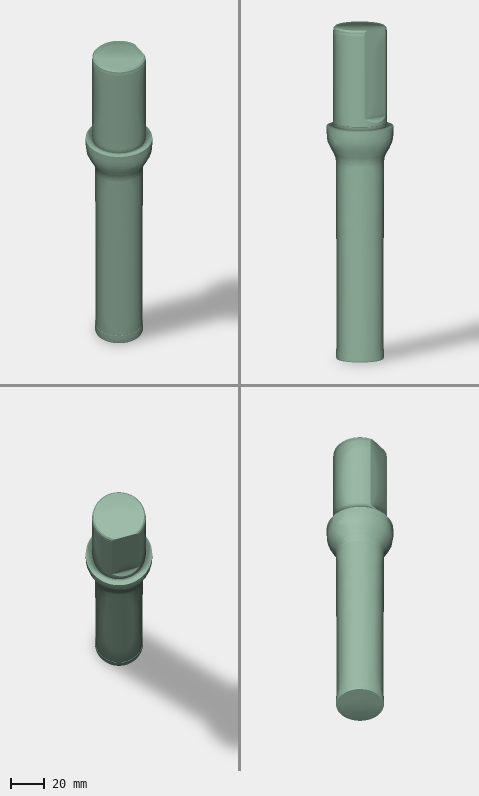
import cadquery as cq

POINT_HEIGHT = 0.5
RIM_CHAMFER_TOP = 1.0
TIP_TOP = 5.8
NECK_BOTTOM = 64.7
COLLAR_BOTTOM = 114.2
COLLAR_TOP = 119.0
BULB_TOP = 136.7
FLANGE_TOP = 141.0
RELIEF_TOP = 143.0
TOTAL_LENGTH = 201.0

TIP_RADIUS = 28.5 / 2
BODY_RADIUS = 28.1 / 2
POINT_FLAT_RADIUS = 5.2
POINT_RADIUS = 14.0
COLLAR_RADIUS = TIP_RADIUS
FLANGE_RADIUS = 39.5 / 2
SHANK_RADIUS = 32.0 / 2
LAND_RADIUS = 31.5 / 2
RELIEF_RADIUS = LAND_RADIUS

BULB_LOWER_POINT = (16.3, 125.5)
BULB_UPPER_POINT = (18.7, 129.8)
AXIS_DIRECTION = (0, 1)

RELIEF_DEPTH = SHANK_RADIUS - RELIEF_RADIUS
RELIEF_FACE_RADIUS = 16.5

LEAD_IN_BOTTOM = 197.8
LAND_BOTTOM = 199.2
LAND_TOP = 200.0
SHANK_END_RADIUS = 14.9

FLAT_OFFSET = 13.7
FLAT_BOTTOM = 147.3


def make_tip():
    """Cutting tip: a short cylinder with a chamfered rim and a very shallow blunt point."""
    return (
        cq.Workplane("XZ")
        .lineTo(POINT_FLAT_RADIUS, 0)
        .lineTo(POINT_RADIUS, POINT_HEIGHT)
        .lineTo(TIP_RADIUS, RIM_CHAMFER_TOP)
        .lineTo(TIP_RADIUS, TIP_TOP)
        .lineTo(0, TIP_TOP)
        .close()
        .revolve(360, (0, 0), AXIS_DIRECTION)
    )


def make_turned_holder():
    """Turned outline of the holder: body, tapered neck, collar, flange and shank."""
    return (
        cq.Workplane("XZ")
        .moveTo(0, TIP_TOP)
        .lineTo(BODY_RADIUS, TIP_TOP)
        .lineTo(BODY_RADIUS, NECK_BOTTOM)
        .lineTo(COLLAR_RADIUS, COLLAR_BOTTOM)
        .lineTo(COLLAR_RADIUS, COLLAR_TOP)
        .spline(
            [BULB_LOWER_POINT, BULB_UPPER_POINT, (FLANGE_RADIUS, BULB_TOP)],
            tangents=[AXIS_DIRECTION, AXIS_DIRECTION],
            includeCurrent=True,
        )
        .lineTo(FLANGE_RADIUS, FLANGE_TOP)
        .lineTo(RELIEF_FACE_RADIUS, FLANGE_TOP)
        .lineTo(RELIEF_FACE_RADIUS - RELIEF_DEPTH, FLANGE_TOP - RELIEF_DEPTH)
        .lineTo(RELIEF_RADIUS, FLANGE_TOP - RELIEF_DEPTH)
        .lineTo(RELIEF_RADIUS, RELIEF_TOP - RELIEF_DEPTH)
        .lineTo(SHANK_RADIUS, RELIEF_TOP)
        .lineTo(SHANK_RADIUS, LEAD_IN_BOTTOM)
        .lineTo(LAND_RADIUS, LAND_BOTTOM)
        .lineTo(LAND_RADIUS, LAND_TOP)
        .lineTo(SHANK_END_RADIUS, TOTAL_LENGTH)
        .lineTo(0, TOTAL_LENGTH)
        .close()
        .revolve(360, (0, 0), AXIS_DIRECTION)
    )


def make_flat_cutter():
    """Prism that removes the clamping flat and its sloping run-out."""
    outer_y = SHANK_RADIUS
    run_out = outer_y - FLAT_OFFSET
    return (
        cq.Workplane("YZ")
        .moveTo(FLAT_OFFSET, FLAT_BOTTOM)
        .lineTo(FLAT_OFFSET, TOTAL_LENGTH)
        .lineTo(outer_y, TOTAL_LENGTH)
        .lineTo(outer_y, FLAT_BOTTOM - run_out)
        .close()
        .extrude(SHANK_RADIUS, both=True)
    )


tip = make_tip()
holder = make_turned_holder().cut(make_flat_cutter())

result = cq.Compound.makeCompound([holder.val(), tip.val()])